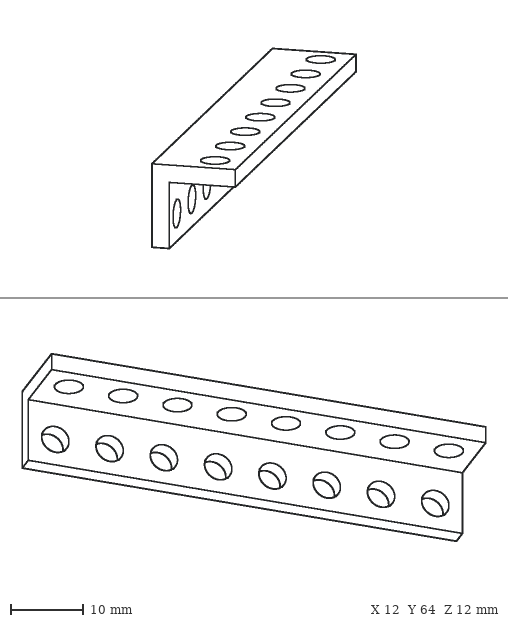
import cadquery as cq

leg_width = 12.0
thickness = 2.5
hole_count = 8
hole_pitch = 8.0
hole_diameter = 4.0
hole_offset = 8.0
length = hole_count * hole_pitch

hole_positions = [hole_pitch / 2 + i * hole_pitch for i in range(hole_count)]


def angle_bar():
    """L-shaped bar running along Y, with one leg horizontal and one hanging down."""
    top_leg = cq.Workplane("XY").box(leg_width, length, thickness, centered=False)
    top_leg = top_leg.translate((0, 0, -thickness))
    side_leg = cq.Workplane("XY").box(thickness, length, leg_width, centered=False)
    side_leg = side_leg.translate((0, 0, -leg_width))
    return top_leg.union(side_leg)


def top_leg_holes():
    """Vertical drills through the horizontal leg."""
    centers = [(hole_offset, y) for y in hole_positions]
    return cq.Workplane("XY").pushPoints(centers).circle(hole_diameter / 2).extrude(-thickness)


def side_leg_holes():
    """Drills along X through the hanging leg."""
    centers = [(y, -hole_offset) for y in hole_positions]
    return cq.Workplane("YZ").pushPoints(centers).circle(hole_diameter / 2).extrude(thickness)


result = angle_bar().cut(top_leg_holes()).cut(side_leg_holes())